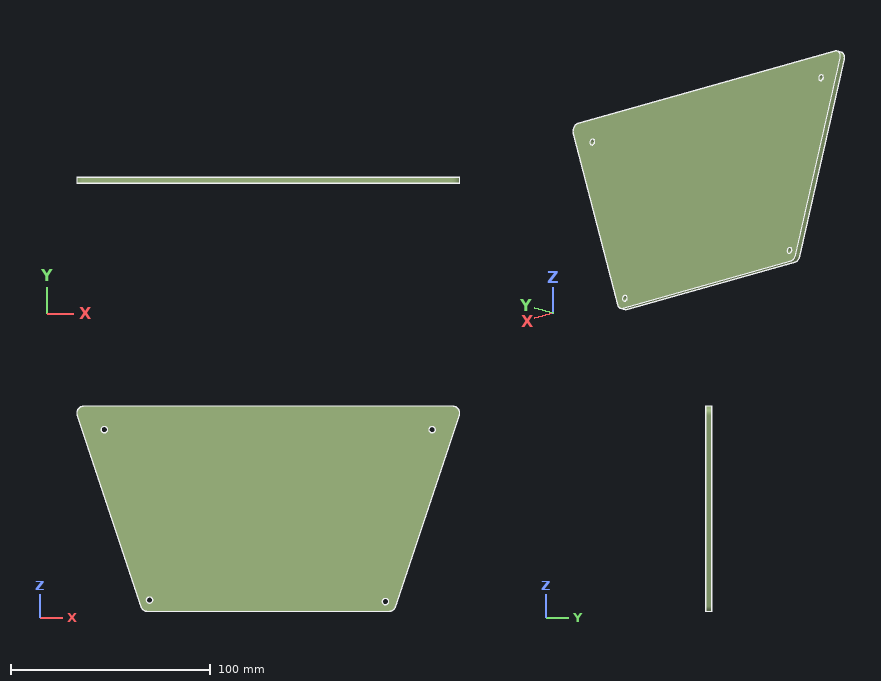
import cadquery as cq
import math

width = 191.8
height = 103.0
thickness = 3.0
corner_radius = 3.6
side_slope = 1 / 3

hole_diameter = 3.0
upper_hole_x = 82.0
upper_hole_drop = 11.9
upper_hole_z = height / 2 - upper_hole_drop
lower_left_hole_x = -59.5
lower_left_hole_rise = 5.8
lower_right_hole_x = 58.7
lower_right_hole_rise = 5.0
hole_centers = [
    (-upper_hole_x, upper_hole_z),
    (upper_hole_x, upper_hole_z),
    (lower_left_hole_x, lower_left_hole_rise - height / 2),
    (lower_right_hole_x, lower_right_hole_rise - height / 2),
]

side_angle = math.atan(side_slope)
top_half_width = (
    width / 2 - corner_radius + corner_radius / math.cos(side_angle) + corner_radius * side_slope
)
bottom_half_width = top_half_width - height * side_slope


def make_plate():
    """Upright trapezoid with rounded corners, centred on the origin."""
    outline = [
        (-bottom_half_width, -height / 2),
        (bottom_half_width, -height / 2),
        (top_half_width, height / 2),
        (-top_half_width, height / 2),
    ]
    plate = cq.Workplane("XZ").polyline(outline).close().extrude(thickness / 2, both=True)
    return plate.edges("|Y").fillet(corner_radius)


def make_holes():
    """Pins that cut the screw holes through the plate."""
    pins = cq.Workplane("XZ").pushPoints(hole_centers).circle(hole_diameter / 2)
    return pins.extrude(thickness, both=True)


result = make_plate().cut(make_holes())